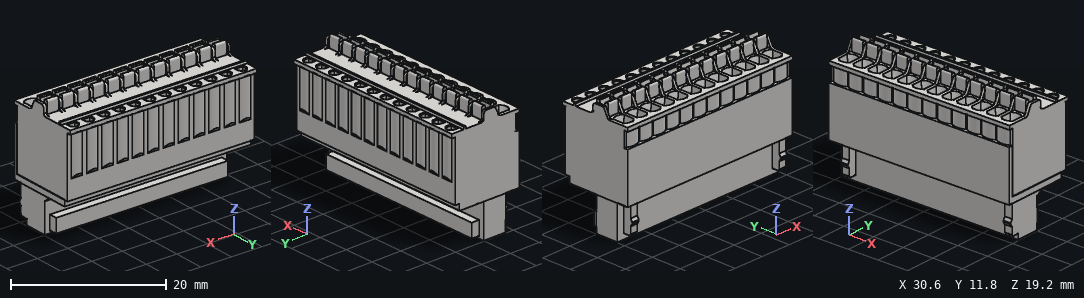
import cadquery as cq
import math

length = 30.6
shell_length = 30.5
plate_depth = 11.75
plate_bottom = 16.52
plate_top = 17.17
body_bottom = 5.8
body_depth = 11.2
rear_step_depth = 0.73
rear_step_top = 6.82
front_recess_depth = 0.6
front_recess_bottom = 14.05

poles = 12
pitch = 2.5
first_pole_x = (length - (poles - 1) * pitch) / 2
pole_x = [first_pole_x + i * pitch for i in range(poles)]

front_swell_width = 2.3
front_swell_depth = 0.35
rear_swell_radius = 1.13
rear_swell_taper_bottom = 9.9
rear_swell_taper_top = 10.53

funnel_y = 2.2
funnel_mouth_radius = 1.32
funnel_end_radius = 0.75
funnel_mouth_width = 1.95
funnel_corner_angle = math.acos(funnel_mouth_width / 2 / funnel_mouth_radius)
funnel_depth = 1.85
wire_bore_depth = 3.67
test_hole_y = 10.53
test_hole_radius = 0.6
test_hole_rim = 0.12
rim_bevel_angle = 45
test_hole_flat_y = 9.95
test_hole_depth = 3.05

ridge_front_y = 9.25
ridge_rear_y = 9.75
ridge_height = 0.37
ridge_slope = 0.12

lever_row_shift = -0.05
lever_width = 1.87
lever_top = 19.2
lever_shoulder = 18.82
fin_width = 0.5
left_fin_width = 0.4
fin_top = 18.73
fin_straight_bottom = 17.5

base_left = 0.35
base_right = 30.23
base_front_y = 2.15
base_rear_y = 5.95
strip_front_y = 0.67
strip_thickness = 0.12
latch_width = 1.22
latch_left_x = 1.53
latch_right_x = base_right - latch_width
latch_front_y = 0.92
latch_bottom = 0.92
latch_chamfer = 0.25
barb_front_y = 0.65
barb_bottom = 2.3
barb_top = 3.43
barb_tip_bottom = 2.75
barb_tip_top = 2.95
gusset_rear_y = 7.13
gusset_height = 0.92
key_inset = 0.9
key_rear_y = 7.22
key_bottom = 0.4
key_top = 2.7

overlap = 0.15


def block(x0, x1, y0, y1, z0, z1):
    return cq.Workplane("XY").box(x1 - x0, y1 - y0, z1 - z0, centered=False).translate((x0, y0, z0))


def side_prism(outline, x0, x1):
    """Extrude a closed (Y, Z) outline along X."""
    return outline.extrude(x1 - x0).translate((x0, 0, 0))


def side_polygon(points, x0, x1):
    return side_prism(cq.Workplane("YZ").polyline(points).close(), x0, x1)


def make_housing():
    shell = side_polygon(
        [
            (0, body_bottom),
            (body_depth - rear_step_depth, body_bottom),
            (body_depth - rear_step_depth, rear_step_top),
            (body_depth, rear_step_top),
            (body_depth, plate_bottom),
            (front_recess_depth, plate_bottom),
            (front_recess_depth, front_recess_bottom),
            (0, front_recess_bottom),
        ],
        0,
        shell_length,
    )
    end_wall = block(
        shell_length - overlap, length, front_recess_depth, body_depth, rear_step_top, plate_bottom
    )
    plate = block(0, length, 0, plate_depth, plate_bottom, plate_top)
    return shell.union(end_wall).union(plate)


def make_front_swell(x):
    half = front_swell_width / 2
    wall_y = front_recess_depth
    return (
        cq.Workplane("XY")
        .workplane(offset=front_recess_bottom)
        .moveTo(x - half, wall_y)
        .threePointArc((x, wall_y - front_swell_depth), (x + half, wall_y))
        .lineTo(x + half, wall_y + overlap)
        .lineTo(x - half, wall_y + overlap)
        .close()
        .extrude(plate_bottom - front_recess_bottom)
    )


def make_rear_swell(x):
    column = (
        cq.Workplane("XY")
        .workplane(offset=rear_swell_taper_bottom)
        .center(x, test_hole_y)
        .circle(rear_swell_radius)
        .extrude(plate_bottom - rear_swell_taper_bottom)
    )
    swell_rear_y = test_hole_y + rear_swell_radius
    tapered_side = side_polygon(
        [
            (test_hole_y, rear_swell_taper_bottom),
            (body_depth, rear_swell_taper_bottom),
            (swell_rear_y, rear_swell_taper_top),
            (swell_rear_y, plate_bottom),
            (test_hole_y, plate_bottom),
        ],
        x - rear_swell_radius,
        x + rear_swell_radius,
    )
    return column.intersect(tapered_side)


def funnel_outline(workplane, radius, flat_sides):
    """Circle cut into four arcs; with flat_sides the left and right arcs become straight."""
    corner_x = radius * math.cos(funnel_corner_angle)
    corner_y = radius * math.sin(funnel_corner_angle)
    outline = workplane.moveTo(-corner_x, corner_y)
    outline = outline.threePointArc((0, radius), (corner_x, corner_y))
    if flat_sides:
        outline = outline.lineTo(corner_x, -corner_y)
    else:
        outline = outline.threePointArc((radius, 0), (corner_x, -corner_y))
    outline = outline.threePointArc((0, -radius), (-corner_x, -corner_y))
    if not flat_sides:
        outline = outline.threePointArc((-radius, 0), (-corner_x, corner_y))
    return outline.close()


def make_funnel(x):
    """Wire entry narrowing from a flat-sided mouth to a round blind bore."""
    end_plane = cq.Workplane("XY").workplane(offset=plate_top - funnel_depth)
    end = funnel_outline(end_plane, funnel_end_radius, flat_sides=False)
    mouth_plane = end.workplane(offset=funnel_depth)
    mouth = funnel_outline(mouth_plane, funnel_mouth_radius, flat_sides=True)
    bore = cq.Workplane("XY").circle(funnel_end_radius).extrude(wire_bore_depth - funnel_depth)
    bore = bore.translate((0, 0, plate_top - wire_bore_depth))
    return mouth.loft(ruled=True).union(bore).translate((x, funnel_y, 0))


def test_hole_outline(x, margin):
    """D shape, rounded at the rear and straight at the front, on the top of the plate."""
    half = test_hole_radius + margin
    flat_y = test_hole_flat_y - margin
    return (
        cq.Workplane("XY")
        .workplane(offset=plate_top)
        .moveTo(x - half, flat_y)
        .lineTo(x + half, flat_y)
        .lineTo(x + half, test_hole_y)
        .threePointArc((x, test_hole_y + half), (x - half, test_hole_y))
        .close()
    )


def make_test_hole(x):
    """Blind hole with a bevelled rim."""
    shaft = test_hole_outline(x, 0).extrude(-test_hole_depth)
    rim = test_hole_outline(x, test_hole_rim).extrude(-test_hole_rim, taper=rim_bevel_angle)
    return shaft.union(rim)


def make_ridge():
    return side_polygon(
        [
            (ridge_front_y, plate_top - overlap),
            (ridge_front_y, plate_top),
            (ridge_front_y + ridge_slope, plate_top + ridge_height),
            (ridge_rear_y - ridge_slope, plate_top + ridge_height),
            (ridge_rear_y, plate_top),
            (ridge_rear_y, plate_top - overlap),
        ],
        0,
        shell_length,
    )


def make_fin(x0, x1):
    """Partition wall with a flared foot, seen along X as an S-curve front and a steep rear."""
    outline = (
        cq.Workplane("YZ")
        .moveTo(3.2, plate_top - overlap)
        .lineTo(3.2, plate_top)
        .threePointArc((3.5, 17.25), (3.67, fin_straight_bottom))
        .lineTo(4.15, 18.45)
        .threePointArc((4.25, 18.65), (4.45, fin_top))
        .lineTo(5.72, fin_top)
        .threePointArc((6.05, 18.6), (6.2, 18.3))
        .lineTo(6.2, fin_straight_bottom)
        .threePointArc((6.45, 17.25), (6.82, plate_top))
        .lineTo(6.82, plate_top - overlap)
        .close()
    )
    return side_prism(outline, x0, x1)


def make_lever(x):
    """Release lever: two round-topped uprights with a round-bottomed tool notch between them."""
    outline = (
        cq.Workplane("YZ")
        .moveTo(3.98, plate_top - overlap)
        .lineTo(3.98, lever_shoulder)
        .threePointArc((4.05, 19.05), (4.25, lever_top))
        .lineTo(4.45, 19.12)
        .lineTo(4.6, 18.95)
        .lineTo(4.7, 18.05)
        .lineTo(4.95, 17.8)
        .threePointArc((5.1, 17.75), (5.25, 17.8))
        .lineTo(5.55, 19.1)
        .lineTo(5.72, lever_top)
        .threePointArc((6.0, 19.05), (6.1, lever_shoulder))
        .lineTo(6.1, plate_top - overlap)
        .close()
    )
    return side_prism(outline, x - lever_width / 2, x + lever_width / 2)


def make_latch(x):
    return side_polygon(
        [
            (base_front_y + overlap, body_bottom),
            (latch_front_y, body_bottom),
            (latch_front_y, barb_top),
            (barb_front_y, barb_tip_top),
            (barb_front_y, barb_tip_bottom),
            (latch_front_y, barb_bottom),
            (latch_front_y, latch_bottom + latch_chamfer),
            (latch_front_y + latch_chamfer, latch_bottom),
            (base_front_y + overlap, latch_bottom),
        ],
        x,
        x + latch_width,
    )


def make_gusset(x):
    return side_polygon(
        [
            (base_rear_y, body_bottom),
            (gusset_rear_y, body_bottom),
            (base_rear_y + overlap, body_bottom - gusset_height),
            (base_rear_y, body_bottom - gusset_height),
        ],
        x,
        x + latch_width,
    )


def make_plug_base():
    base = block(base_left, base_right, base_front_y, base_rear_y, 0, body_bottom)
    strip = block(
        base_left, base_right, strip_front_y, base_front_y, body_bottom - strip_thickness, body_bottom
    )
    key = block(
        base_left + key_inset, base_right - key_inset, base_rear_y, key_rear_y, key_bottom, key_top
    )
    base = base.union(strip).union(key)
    for x in (latch_left_x, latch_right_x):
        base = base.union(make_latch(x)).union(make_gusset(x))
    return base


result = make_housing().union(make_plug_base()).union(make_ridge())

for x in pole_x:
    result = result.union(make_front_swell(x)).union(make_rear_swell(x))
    result = result.union(make_lever(x + lever_row_shift))

result = result.union(make_fin(0, left_fin_width)).union(make_fin(length - fin_width, length))
for x in pole_x[1:]:
    fin_x = x + lever_row_shift - pitch / 2
    result = result.union(make_fin(fin_x - fin_width / 2, fin_x + fin_width / 2))

for x in pole_x:
    result = result.cut(make_funnel(x)).cut(make_test_hole(x))